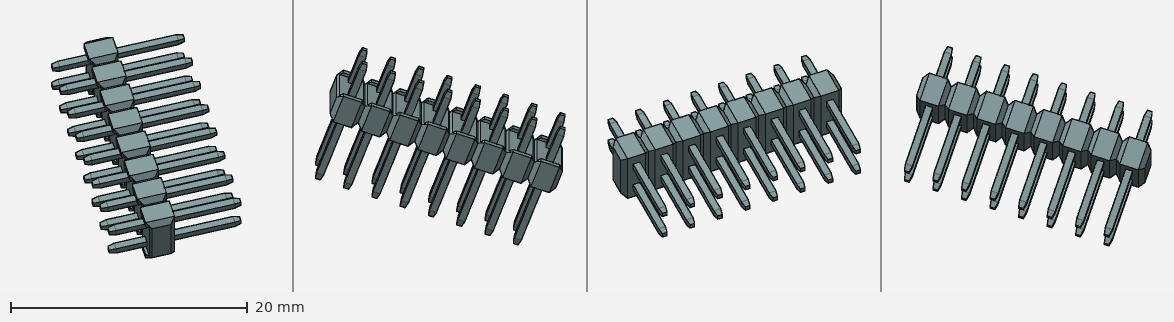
import cadquery as cq

total_length = 20.32
cell_count = 8
body_depth = 2.55
body_height = 5.04
cell_chamfer = 0.45

recess_depth = 0.26
recess_height = 3.98

pin_width = 0.63
pin_tip_width = 0.43
pin_tip_length = 0.57
pin_row_spacing = 2.6
front_pin_reach = 3.0
back_pin_reach = 6.0

pitch = total_length / cell_count
body_front = -body_depth / 2
body_back = body_depth / 2
pin_front = body_front - front_pin_reach
pin_back = body_back + back_pin_reach
cell_centres = [(i - (cell_count - 1) / 2) * pitch for i in range(cell_count)]
row_heights = [-pin_row_spacing / 2, pin_row_spacing / 2]


def make_cell():
    """Housing block with the rims of both X faces chamfered, recessed on its front."""
    block = (
        cq.Workplane("XY")
        .box(pitch, body_depth, body_height)
        .faces("<X or >X")
        .edges()
        .chamfer(cell_chamfer)
    )
    recess = (
        cq.Workplane("XY")
        .box(pitch, recess_depth, recess_height)
        .translate((0, body_front + recess_depth / 2, 0))
    )
    return block.cut(recess)


def make_pin_tip(base_y, end_y):
    """Square pyramid frustum tapering from the full pin width to the tip width."""
    return (
        cq.Workplane("XZ", origin=(0, base_y, 0))
        .rect(pin_width, pin_width)
        .workplane(offset=base_y - end_y)
        .rect(pin_tip_width, pin_tip_width)
        .loft(ruled=True)
    )


def make_pin():
    """Square pin through the housing with a tapered tip at each end."""
    shaft_front = pin_front + pin_tip_length
    shaft_back = pin_back - pin_tip_length
    shaft = (
        cq.Workplane("XY")
        .box(pin_width, shaft_back - shaft_front, pin_width)
        .translate((0, (shaft_front + shaft_back) / 2, 0))
    )
    front_tip = make_pin_tip(shaft_front, pin_front)
    back_tip = make_pin_tip(shaft_back, pin_back)
    return shaft.union(front_tip).union(back_tip)


position = make_cell()
pin = make_pin()
for row_z in row_heights:
    position = position.union(pin.translate((0, 0, row_z)))

result = position.translate((cell_centres[0], 0, 0))
for centre_x in cell_centres[1:]:
    result = result.union(position.translate((centre_x, 0, 0)))